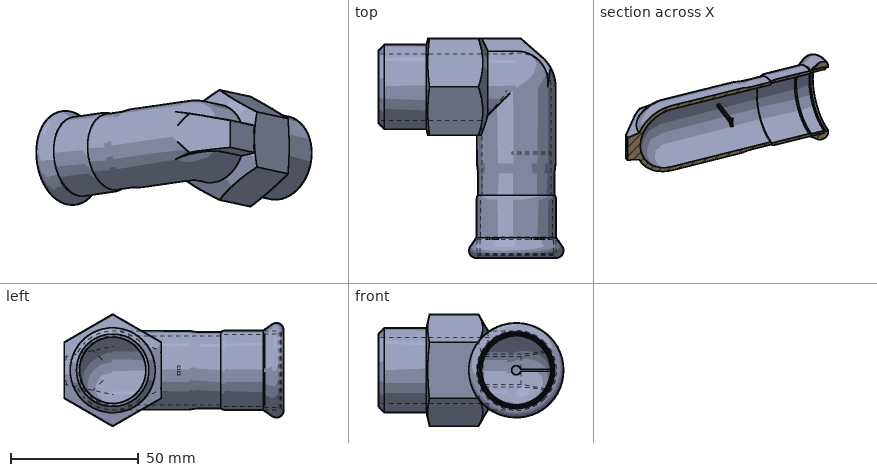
import cadquery as cq
import math

elbow_radius = 15.5
elbow_bore_radius = 13.5
male_bore_radius = 13.0

male_end_x = -54.0
male_radius = 33.3 / 2
male_tip_radius = 14.2
male_chamfer_length = 2.4

hex_corner_radius = 21.9
hex_apothem = hex_corner_radius * math.cos(math.pi / 6)
hex_face_x = -35.2
hex_front_corner_x = -34.0
hex_back_corner_x = -14.8
hex_back_slope = math.tan(math.pi / 6)
hex_back_x = hex_back_corner_x + (hex_corner_radius - elbow_radius) * hex_back_slope

pad_half_height = 6.45
pad_taper = math.tan(math.radians(12))
pad_root_y = math.sqrt(elbow_radius**2 - pad_half_height**2)
pad_back_half_height = pad_half_height - pad_taper * (hex_apothem - pad_root_y)
pad_front_half_height = pad_back_half_height + pad_taper * hex_apothem
pad_end_x = 1.8

total_length = 86.0
socket_end_y = hex_apothem - total_length
neck_radius = 30.0 / 2
neck_taper_start_y = -30.0
neck_taper_end_y = -34.0
neck_end_y = -42.4
shoulder_length = 1.6
shoulder_mid_radius = 15.5
socket_radius = 31.3 / 2
bead_radius = 2.9
bead_center_y = socket_end_y + bead_radius
bead_arc_end_angle = math.radians(43)
bead_cone_end_y = socket_end_y + 8.0

socket_bore_radius = 28.2 / 2
mouth_radius = 30.0 / 2
mouth_depth = 1.0
mouth_cone_depth = 1.5
seal_start_depth = 1.9
seal_end_depth = 7.4
lead_in_depth = 8.25
seal_inner_radius = 28.8 / 2
seal_outer_radius = 15.5

tab_y = -25.8
tab_thickness = 0.9
tab_width = 0.95
tab_disc_radius = 1.8
tab_wall_overlap = 0.9


def revolve_about_x(profile):
    return profile.close().revolve(360, (0, 0, 0), (1, 0, 0))


def revolve_about_y(profile):
    return profile.close().revolve(360, (0, 0, 0), (0, 1, 0))


def make_male_leg():
    return revolve_about_x(
        cq.Workplane("XY")
        .moveTo(male_end_x, 0)
        .lineTo(male_end_x, male_tip_radius)
        .lineTo(male_end_x + male_chamfer_length, male_radius)
        .lineTo(hex_face_x, male_radius)
        .lineTo(hex_back_x, elbow_radius)
        .lineTo(0, elbow_radius)
        .lineTo(0, 0)
    )


def make_hexagon():
    prism = (
        cq.Workplane("YZ", origin=(hex_face_x, 0, 0))
        .polygon(6, 2 * hex_corner_radius)
        .extrude(hex_back_x - hex_face_x)
        .rotate((0, 0, 0), (1, 0, 0), 90)
    )
    chamfer_envelope = revolve_about_x(
        cq.Workplane("XY")
        .moveTo(hex_face_x, 0)
        .lineTo(hex_face_x, male_radius)
        .lineTo(hex_front_corner_x, hex_corner_radius)
        .lineTo(hex_back_corner_x, hex_corner_radius)
        .lineTo(hex_back_x, elbow_radius)
        .lineTo(hex_back_x, 0)
    )
    return prism.intersect(chamfer_envelope)


def make_pad():
    """Block that narrows towards +Y and whose sloping end is tangent to the sphere of the elbow."""
    corner_distance = math.hypot(pad_end_x, hex_apothem)
    corner_angle = math.atan2(hex_apothem, pad_end_x)
    tangent_angle = corner_angle - math.acos(elbow_radius / corner_distance)
    tangent_x = elbow_radius * math.cos(tangent_angle)
    tangent_y = elbow_radius * math.sin(tangent_angle)
    half_tangent_angle = tangent_angle / 2
    chamfer_meets_flat_x = hex_back_corner_x + (hex_corner_radius - hex_apothem) * hex_back_slope
    block = (
        cq.Workplane("XY")
        .moveTo(chamfer_meets_flat_x, 0)
        .lineTo(chamfer_meets_flat_x, hex_apothem)
        .lineTo(pad_end_x, hex_apothem)
        .lineTo(tangent_x, tangent_y)
        .threePointArc(
            (elbow_radius * math.cos(half_tangent_angle), elbow_radius * math.sin(half_tangent_angle)),
            (elbow_radius, 0),
        )
        .close()
        .extrude(pad_front_half_height, both=True)
    )
    taper_envelope = (
        cq.Workplane("YZ", origin=(chamfer_meets_flat_x, 0, 0))
        .moveTo(0, -pad_front_half_height)
        .lineTo(hex_apothem, -pad_back_half_height)
        .lineTo(hex_apothem, pad_back_half_height)
        .lineTo(0, pad_front_half_height)
        .close()
        .extrude(elbow_radius - chamfer_meets_flat_x)
    )
    leg_envelope = (
        cq.Workplane("XZ")
        .circle(elbow_radius)
        .extrude(-hex_apothem)
    )
    return block.intersect(taper_envelope).intersect(leg_envelope)


def make_socket_leg():
    def bead_point(angle):
        return (
            socket_radius + bead_radius * math.cos(angle),
            bead_center_y + bead_radius * math.sin(angle),
        )

    return revolve_about_y(
        cq.Workplane("XY")
        .lineTo(elbow_radius, 0)
        .lineTo(elbow_radius, neck_taper_start_y)
        .lineTo(neck_radius, neck_taper_end_y)
        .lineTo(neck_radius, neck_end_y)
        .threePointArc(
            (shoulder_mid_radius, neck_end_y - shoulder_length / 2),
            (socket_radius, neck_end_y - shoulder_length),
        )
        .lineTo(socket_radius, bead_cone_end_y)
        .lineTo(*bead_point(bead_arc_end_angle))
        .threePointArc(bead_point(0), (socket_radius, socket_end_y))
        .lineTo(0, socket_end_y)
    )


def make_male_bore():
    return cq.Workplane("YZ", origin=(male_end_x, 0, 0)).circle(male_bore_radius).extrude(-male_end_x)


def make_socket_bore():
    return revolve_about_y(
        cq.Workplane("XY")
        .moveTo(0, socket_end_y)
        .lineTo(mouth_radius, socket_end_y)
        .lineTo(mouth_radius, socket_end_y + mouth_depth)
        .lineTo(seal_inner_radius, socket_end_y + mouth_cone_depth)
        .lineTo(seal_inner_radius, socket_end_y + seal_end_depth)
        .lineTo(socket_bore_radius, socket_end_y + lead_in_depth)
        .lineTo(socket_bore_radius, neck_end_y)
        .lineTo(elbow_bore_radius, neck_end_y)
        .lineTo(elbow_bore_radius, 0)
        .lineTo(0, 0)
    )


def make_tab():
    bar_length = elbow_bore_radius + tab_wall_overlap
    bar = cq.Workplane("XY").box(bar_length, tab_thickness, tab_width, centered=(False, True, True))
    disc = cq.Workplane("XZ").circle(tab_disc_radius).extrude(tab_thickness / 2, both=True)
    return bar.union(disc).translate((0, tab_y, 0))


def make_seal():
    """Ring that fills the seal groove."""
    return (
        cq.Workplane("XZ", origin=(0, socket_end_y + seal_end_depth, 0))
        .circle(seal_outer_radius)
        .circle(seal_inner_radius)
        .extrude(seal_end_depth - seal_start_depth)
    )


def make_elbow(seal_space):
    outside = (
        make_male_leg()
        .union(make_hexagon())
        .union(make_socket_leg())
        .union(cq.Workplane("XY").sphere(elbow_radius))
        .union(make_pad())
    )
    hollow = (
        make_socket_bore()
        .union(make_male_bore())
        .union(cq.Workplane("XY").sphere(elbow_bore_radius))
    )
    return outside.cut(hollow).cut(seal_space).union(make_tab())


seal = make_seal()
elbow = make_elbow(seal)

result = cq.Compound.makeCompound([elbow.val(), seal.val()])